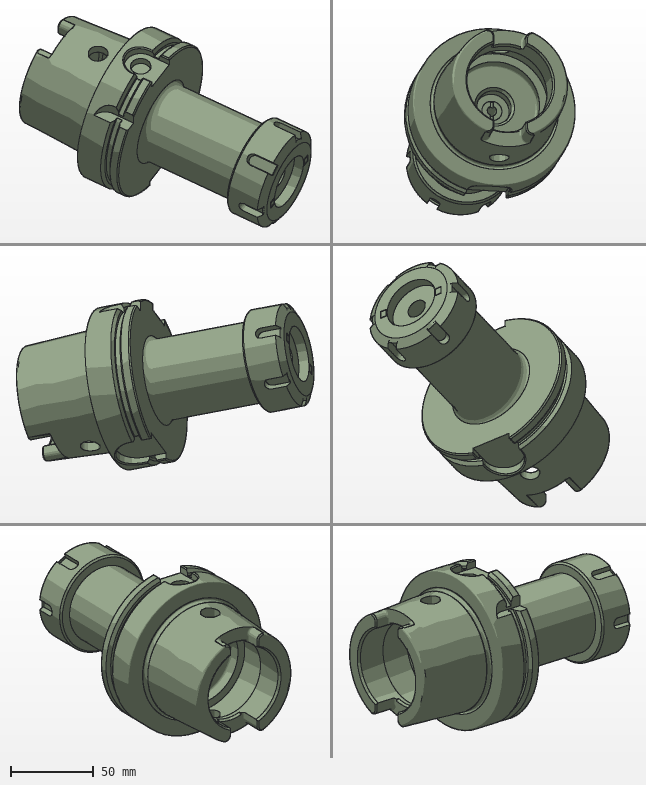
import cadquery as cq
import math


total_length = 170.0
flange_start = 50.0
flange_end = 79.0
nut_start = 144.5
mark_height = 0.3
nut_end = total_length - mark_height

shank_end_radius = 35.5
shank_base_radius = 37.9
shank_edge_fillet = 1.5
taper_end = 47.3
neck_start = 48.0
neck_radius = 37.4
face_groove_radius = 39.6
bore_radius = 26.4
bore_floor_x = 49.3
clamp_groove_radius = 31.5
clamp_groove_start = 19.5
clamp_groove_end = 42.5
bore_floor_fillet = 1.5
bore_chamfer_radial = 1.0
bore_chamfer_axial = 1.7
recess_radius = 10.5
recess_depth = 8.5
recess_chamfer = 1.7
clamp_hole_radius = 6.0
clamp_hole_x = 34.8

drive_slot_half_width = 9.9
drive_slot_flare = 3.7
drive_slot_corner = 1.5
drive_slot_edge = 0.8
upper_drive_slot_depth = 9.9
lower_drive_slot_depth = 15.0

flange_radius = 50.0
flange_edge = 0.8
groove_floor_radius = 45.9
groove_flank_radius = 47.6
groove_floor_start = 68.3
groove_floor_end = 71.9
groove_flank_width = 1.5
keyway_floor = 43.9
keyway_center_x = 65.0
upper_keyway_half_width = 10.0
lower_keyway_half_width = 12.8
keyway_chamfer = 0.8
keyway_hole_radius = 6.1
keyway_hole_depth = 4.8
notch_wall = 31.6
notch_radius = 10.0

nose_radius = 25.0
nose_blend_radius = 6.3
nose_blend_end = 84.2
nose_end = 163.2

nut_radius = 31.6
nut_back_chamfer = 1.2
nut_cone_start = 166.3
nut_face_radius = 25.8
nut_mouth_radius = 17.0
nut_slot_count = 6
nut_slot_half_width = 3.48
nut_slot_floor = 26.9
nut_slot_end = 168.1
long_slot_center_x = 153.5
short_slot_center_x = 156.9
mark_inner_radius = 17.5
mark_outer_radius = 21.6
mark_half_width = 2.5

screw_radius = 6.1
screw_length = 17.0
screw_hole_radius = 2.9
screw_slot_width = 2.0
screw_slot_depth = 2.5

clearance = 1.7

recess_floor_x = bore_floor_x + recess_depth
drive_slot_top = shank_base_radius + clearance
AXIS_START = (0, 0)
AXIS_END = (1, 0)
ARC_INSET = 1 - math.sqrt(0.5)


def rod(radius, start, end):
    """Cylinder on the X axis between two stations."""
    return cq.Workplane("YZ", origin=(start, 0, 0)).circle(radius).extrude(end - start)


def turned(profile):
    """Revolve a closed (x, radius) profile about the X axis."""
    return profile.close().revolve(360, AXIS_START, AXIS_END)


def nose_blend_rise(run):
    """Height of the concave nose blend above the nose at a distance before its end."""
    return nose_blend_radius - math.sqrt(nose_blend_radius**2 - run**2)


def holder_blank():
    """Turned outside shape of the holder, still solid."""
    blend_run = nose_blend_end - flange_end
    blend_rise = nose_blend_rise(blend_run)
    half_run = blend_run / 2
    half_rise = nose_blend_rise(half_run)
    corner = shank_edge_fillet * ARC_INSET
    rim_corner = flange_edge * ARC_INSET
    face_groove_depth = (face_groove_radius - neck_radius) / 2
    profile = (
        cq.Workplane("XY")
        .moveTo(0, 0)
        .lineTo(0, shank_end_radius - shank_edge_fillet)
        .threePointArc((corner, shank_end_radius - corner), (shank_edge_fillet, shank_end_radius))
        .lineTo(taper_end, shank_base_radius)
        .lineTo(neck_start, neck_radius)
        .lineTo(flange_start, neck_radius)
        .threePointArc(
            (flange_start + face_groove_depth, neck_radius + face_groove_depth),
            (flange_start, face_groove_radius),
        )
        .lineTo(flange_start, flange_radius - flange_edge)
        .threePointArc(
            (flange_start + rim_corner, flange_radius - rim_corner),
            (flange_start + flange_edge, flange_radius),
        )
        .lineTo(flange_end - flange_edge, flange_radius)
        .lineTo(flange_end, flange_radius - flange_edge)
        .lineTo(flange_end, nose_radius + blend_rise)
        .threePointArc(
            (nose_blend_end - half_run, nose_radius + half_rise),
            (nose_blend_end, nose_radius),
        )
        .lineTo(nose_end, nose_radius)
        .lineTo(nose_end, 0)
    )
    return turned(profile)


def shank_bore():
    """Hollow of the shank with its entry chamfer, filleted floor and chamfered recess."""
    corner = bore_floor_fillet * ARC_INSET
    profile = (
        cq.Workplane("XY")
        .moveTo(0, 0)
        .lineTo(0, bore_radius + bore_chamfer_radial)
        .lineTo(bore_chamfer_axial, bore_radius)
        .lineTo(clamp_groove_start, bore_radius)
        .lineTo(clamp_groove_start, clamp_groove_radius)
        .lineTo(clamp_groove_end, clamp_groove_radius)
        .lineTo(clamp_groove_end, bore_radius)
        .lineTo(bore_floor_x - bore_floor_fillet, bore_radius)
        .threePointArc(
            (bore_floor_x - corner, bore_radius - corner),
            (bore_floor_x, bore_radius - bore_floor_fillet),
        )
        .lineTo(bore_floor_x, recess_radius + recess_chamfer)
        .lineTo(bore_floor_x + recess_chamfer, recess_radius)
        .lineTo(recess_floor_x, recess_radius)
        .lineTo(recess_floor_x, 0)
    )
    return turned(profile)


def drive_slot_outline(offset):
    """Flared cross-section of the drive slot on the end plane, widened by an offset."""
    half_width = drive_slot_half_width + offset
    flare = drive_slot_flare - offset
    center_y = half_width + flare
    center_distance = shank_end_radius - drive_slot_flare
    rim_angle = math.acos(center_y / center_distance)
    center_z = center_distance * math.sin(rim_angle)
    mid_angle = (math.pi + rim_angle) / 2
    mid_y = center_y + flare * math.cos(mid_angle)
    mid_z = center_z + flare * math.sin(mid_angle)
    end_y = center_y + flare * math.cos(rim_angle)
    end_z = center_z + flare * math.sin(rim_angle)
    return (
        cq.Workplane("YZ")
        .moveTo(-half_width, 0)
        .lineTo(-half_width, center_z)
        .threePointArc((-mid_y, mid_z), (-end_y, end_z))
        .lineTo(-end_y, drive_slot_top)
        .lineTo(end_y, drive_slot_top)
        .lineTo(end_y, end_z)
        .threePointArc((mid_y, mid_z), (half_width, center_z))
        .lineTo(half_width, 0)
        .close()
    )


def drive_slot_bore_edge(depth):
    """Cutter that chamfers the bore where it meets the floor of a drive slot."""
    cone = (
        cq.Workplane("XY")
        .moveTo(depth, 0)
        .lineTo(depth, bore_radius + bore_chamfer_radial)
        .lineTo(depth + bore_chamfer_axial, bore_radius)
        .lineTo(depth + bore_chamfer_axial, 0)
    )
    floor_width = 2 * (drive_slot_half_width - drive_slot_corner)
    span = cq.Workplane("XY", origin=(depth, 0, 0)).box(
        bore_chamfer_axial, floor_width, drive_slot_top, centered=(False, True, False)
    )
    return turned(cone).intersect(span)


def drive_slot(depth):
    """Slot through the +Z wall of the shank, with rounded inner corners and a chamfered mouth."""
    slot = drive_slot_outline(0).extrude(depth)
    inner_corners = slot.faces(">X").edges("(not |Y) and (not (|Z and (>Y or <Y)))")
    slot = inner_corners.fillet(drive_slot_corner)
    mouth = drive_slot_outline(drive_slot_edge).extrude(drive_slot_edge, taper=45)
    return slot.union(mouth).union(drive_slot_bore_edge(depth))


def gripping_groove():
    """Ring cutter for the flange groove with sloped flanks."""
    flank_rise = flange_radius - groove_flank_radius
    over = 2 * groove_flank_width
    over_radius = groove_flank_radius + 2 * flank_rise
    profile = (
        cq.Workplane("XY")
        .moveTo(groove_floor_start, groove_floor_radius)
        .lineTo(groove_floor_start, groove_flank_radius)
        .lineTo(groove_floor_start - over, over_radius)
        .lineTo(groove_floor_end + over, over_radius)
        .lineTo(groove_floor_end, groove_flank_radius)
        .lineTo(groove_floor_end, groove_floor_radius)
    )
    return turned(profile)


def round_ended_slot(half_width, center_x, end_x, height):
    """Slot along X with a round -X end, standing on the XY plane."""
    bar = cq.Workplane("XY").box(
        end_x - center_x, 2 * half_width, height, centered=(False, True, False)
    )
    return bar.union(cq.Workplane("XY").circle(half_width).extrude(height)).translate((center_x, 0, 0))


def cut_keyway(body, half_width):
    """Cut a round-ended keyway into the +Z side of the flange and chamfer its rim."""
    height = flange_radius - keyway_floor + clearance
    slot = round_ended_slot(half_width, keyway_center_x, flange_end + clearance, height)
    body = body.cut(slot.translate((0, 0, keyway_floor)))
    rim_z = math.sqrt(flange_radius**2 - half_width**2)
    rim_box = cq.selectors.BoxSelector(
        (keyway_center_x - half_width - keyway_chamfer, -half_width - keyway_chamfer, rim_z - keyway_chamfer),
        (flange_end - flange_edge, half_width + keyway_chamfer, flange_radius + keyway_chamfer),
    )
    return body.edges(rim_box).chamfer(keyway_chamfer)


def notch():
    """Cutter for the corner notch on the -Y, +Z side of the flange."""
    slot = round_ended_slot(notch_radius, keyway_center_x, flange_end + clearance, flange_radius)
    return slot.translate((0, -notch_wall - notch_radius, notch_wall))


def make_holder():
    """Shank, flange and nose, with the screw hole running on through the nose."""
    body = holder_blank()
    body = body.cut(drive_slot(upper_drive_slot_depth))
    body = body.cut(drive_slot(lower_drive_slot_depth).mirror("XY"))
    body = body.cut(shank_bore())
    body = body.cut(rod(screw_radius, recess_floor_x, nose_end))
    clamp_hole = cq.Workplane("XY").center(clamp_hole_x, 0).circle(clamp_hole_radius)
    body = body.cut(clamp_hole.extrude(flange_radius, both=True))
    body = cut_keyway(body, upper_keyway_half_width)
    body = cut_keyway(body.mirror("XY"), lower_keyway_half_width).mirror("XY")
    hole = cq.Workplane("XY", origin=(keyway_center_x, 0, keyway_floor)).circle(keyway_hole_radius)
    body = body.cut(hole.extrude(-keyway_hole_depth))
    body = body.cut(gripping_groove())
    return body.cut(notch())


def make_nut():
    """Cup-shaped nut over the nose, with spanner slots and two raised face marks."""
    profile = (
        cq.Workplane("XY")
        .moveTo(nut_start, nose_radius)
        .lineTo(nut_start, nut_radius - nut_back_chamfer)
        .lineTo(nut_start + nut_back_chamfer, nut_radius)
        .lineTo(nut_cone_start, nut_radius)
        .lineTo(nut_end, nut_face_radius)
        .lineTo(nut_end, nut_mouth_radius)
        .lineTo(nose_end, nut_mouth_radius)
        .lineTo(nose_end, nose_radius)
    )
    nut = turned(profile)
    slot_height = nut_radius - nut_slot_floor + clearance
    for index in range(nut_slot_count):
        angle = 360 / nut_slot_count * index
        is_long = 0 < angle < 180
        center_x = long_slot_center_x if is_long else short_slot_center_x
        slot = round_ended_slot(nut_slot_half_width, center_x, nut_slot_end, slot_height)
        slot = slot.translate((0, 0, nut_slot_floor))
        nut = nut.cut(slot.rotate((0, 0, 0), (1, 0, 0), angle - 90))
    for side in (-1, 1):
        mark_center = side * (mark_inner_radius + mark_outer_radius) / 2
        mark = cq.Workplane("YZ", origin=(nut_end, 0, 0)).center(mark_center, 0)
        mark = mark.rect(mark_outer_radius - mark_inner_radius, 2 * mark_half_width)
        nut = nut.union(mark.extrude(mark_height))
    return nut


def make_stop_screw():
    """Hollow screw behind the recess, with a driver slot across its rear end."""
    screw_end = recess_floor_x + screw_length
    screw = rod(screw_radius, recess_floor_x, screw_end)
    screw = screw.cut(rod(screw_hole_radius, recess_floor_x, screw_end))
    slot = cq.Workplane("XY", origin=(recess_floor_x, 0, 0))
    return screw.cut(slot.box(2 * screw_slot_depth, screw_slot_width, 2 * screw_radius))


holder = make_holder()
nut = make_nut()
stop_screw = make_stop_screw()

result = cq.Compound.makeCompound([holder.val(), nut.val(), stop_screw.val()])